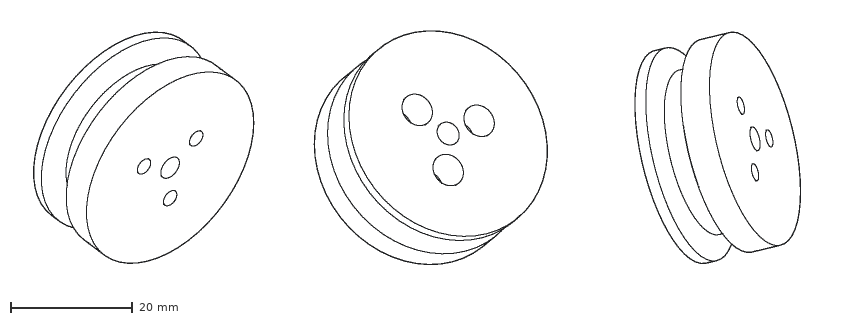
import cadquery as cq
import math

outer_diameter = 36.07
width = 13.53

front_flange_width = 2.0
groove_mouth_width = 6.35
groove_floor_diameter = 27.92
flank_angle = 20.0

bore_diameter = 4.0
screw_count = 3
screw_circle_radius = 6.5
screw_hole_diameter = 2.9
counterbore_diameter = 5.52
counterbore_depth = 8.0
first_screw_angle = -90.0


def wheel_body():
    """Revolve the half section of the grooved wheel about X."""
    outer_radius = outer_diameter / 2
    floor_radius = groove_floor_diameter / 2
    flank_run = (outer_radius - floor_radius) * math.tan(math.radians(flank_angle))
    mouth_start = front_flange_width
    mouth_end = mouth_start + groove_mouth_width
    half_section = [
        (0, 0),
        (0, outer_radius),
        (mouth_start, outer_radius),
        (mouth_start + flank_run, floor_radius),
        (mouth_end - flank_run, floor_radius),
        (mouth_end, outer_radius),
        (width, outer_radius),
        (width, 0),
    ]
    profile = cq.Workplane("XY").polyline(half_section).close()
    return profile.revolve(360, (0, 0, 0), (1, 0, 0))


def screw_positions():
    """Evenly spaced (Y, Z) positions on the screw circle."""
    angles = [math.radians(first_screw_angle + i * 360 / screw_count) for i in range(screw_count)]
    return [(screw_circle_radius * math.cos(a), screw_circle_radius * math.sin(a)) for a in angles]


def drill(positions, diameter, depth):
    """Cylinders running from the face at X = 0 into the wheel."""
    return cq.Workplane("YZ").pushPoints(positions).circle(diameter / 2).extrude(depth)


result = (
    wheel_body()
    .cut(drill([(0, 0)], bore_diameter, width))
    .cut(drill(screw_positions(), screw_hole_diameter, width))
    .cut(drill(screw_positions(), counterbore_diameter, counterbore_depth))
)